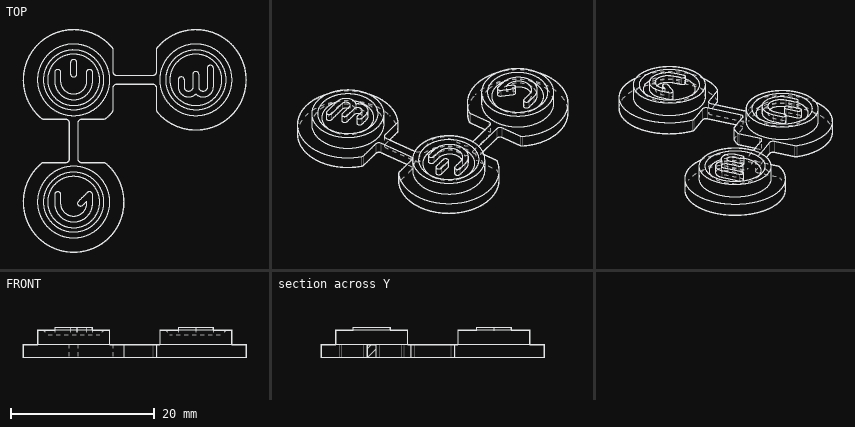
import cadquery as cq
import math

overall = 31.0
disc_diameter = 14.0
pitch = overall - disc_diameter
base_height = 1.8
flat_distance = 5.5
bridge_width = 1.25
bridge_fillet = 0.5
disc_corner_fillet = 0.5

boss_diameter = 10.0
boss_height = 2.0
boss_top = base_height + boss_height
dish_depth = 0.7
dish_top_radius = 4.2
dish_floor_radius = 3.6
dish_floor = boss_top - dish_depth

total_height = 4.2
symbol_height = total_height - dish_floor
stroke = 0.8
cup_radius = 2.2
cup_center_y = -0.2
cup_tip_y = 1.05
bar_bottom_y = 0.78
bar_top_y = 2.45
hook_reach = 1.25
wave_radius = 1.008
wave_center_y = -1.0
wave_tip_heights = (0.03, 0.78, 1.65)

corner = (0, 0, 0)
right_end = (pitch, 0, 0)
lower_end = (0, -pitch, 0)


def straight_stroke(start, end):
    """Round-ended bar between two end-arc centres, on the dish floor."""
    dx = end[0] - start[0]
    dy = end[1] - start[1]
    middle = ((start[0] + end[0]) / 2, (start[1] + end[1]) / 2)
    return (
        cq.Workplane("XY", origin=(0, 0, dish_floor))
        .center(*middle)
        .slot2D(math.hypot(dx, dy) + stroke, stroke, math.degrees(math.atan2(dy, dx)))
        .extrude(symbol_height)
    )


def bowl_stroke(center_x, center_y, radius):
    """Lower half of a ring, open toward +Y."""
    outer = radius + stroke / 2
    inner = radius - stroke / 2
    return (
        cq.Workplane("XY", origin=(center_x, center_y, dish_floor))
        .moveTo(-outer, 0)
        .threePointArc((0, -outer), (outer, 0))
        .lineTo(inner, 0)
        .threePointArc((0, -inner), (-inner, 0))
        .close()
        .extrude(symbol_height)
    )


def cup_symbol():
    cup = bowl_stroke(0, cup_center_y, cup_radius)
    for x in (-cup_radius, cup_radius):
        cup = cup.union(straight_stroke((x, cup_center_y), (x, cup_tip_y)))
    return cup


def cup_and_bar_symbol():
    return cup_symbol().union(straight_stroke((0, bar_bottom_y), (0, bar_top_y)))


def hooked_cup_symbol():
    tip = (cup_radius, cup_tip_y)
    hook_end = (cup_radius - hook_reach, cup_tip_y - hook_reach)
    return cup_symbol().union(straight_stroke(hook_end, tip))


def wave_symbol():
    wave = bowl_stroke(-wave_radius, wave_center_y, wave_radius)
    wave = wave.union(bowl_stroke(wave_radius, wave_center_y, wave_radius))
    for index, tip_y in enumerate(wave_tip_heights):
        x = (index - 1) * 2 * wave_radius
        wave = wave.union(straight_stroke((x, wave_center_y), (x, tip_y)))
    return wave


def base_disc(flat_directions):
    """Disc cut straight on each side that faces a bridge."""
    disc = cq.Workplane("XY").circle(disc_diameter / 2).extrude(base_height)
    for x_dir, y_dir in flat_directions:
        offset = flat_distance + disc_diameter / 2
        cutter = (
            cq.Workplane("XY")
            .center(x_dir * offset, y_dir * offset)
            .rect(disc_diameter, disc_diameter)
            .extrude(base_height)
        )
        disc = disc.cut(cutter)

    half_flat = math.sqrt((disc_diameter / 2) ** 2 - flat_distance**2)
    for x_dir, y_dir in flat_directions:
        for side in (-half_flat, half_flat):
            x = x_dir * flat_distance + abs(y_dir) * side
            y = y_dir * flat_distance + abs(x_dir) * side
            corner_edge = cq.selectors.NearestToPointSelector((x, y, base_height / 2))
            disc = disc.edges("|Z").edges(corner_edge).fillet(disc_corner_fillet)
    return disc


def bridge_plate(start, end):
    """Straight bridge overlapping both neighbouring discs."""
    return (
        cq.Workplane("XY")
        .center((start[0] + end[0]) / 2, (start[1] + end[1]) / 2)
        .rect(max(abs(end[0] - start[0]), bridge_width), max(abs(end[1] - start[1]), bridge_width))
        .extrude(base_height)
    )


def base_plate():
    plate = base_disc([(1, 0), (0, -1)])
    plate = plate.union(base_disc([(-1, 0)]).translate(right_end))
    plate = plate.union(base_disc([(0, 1)]).translate(lower_end))
    for end in (right_end, lower_end):
        plate = plate.union(bridge_plate(corner, end))

    for along in (flat_distance, pitch - flat_distance):
        for side in (-bridge_width / 2, bridge_width / 2):
            for x, y in ((along, side), (side, -along)):
                corner_edge = cq.selectors.NearestToPointSelector((x, y, base_height / 2))
                plate = plate.edges("|Z").edges(corner_edge).fillet(bridge_fillet)
    return plate


def dished_boss():
    """Round boss with a conical-sided, flat-floored dish in its top."""
    return (
        cq.Workplane("XZ")
        .moveTo(0, base_height)
        .lineTo(boss_diameter / 2, base_height)
        .lineTo(boss_diameter / 2, boss_top)
        .lineTo(dish_top_radius, boss_top)
        .lineTo(dish_floor_radius, dish_floor)
        .lineTo(0, dish_floor)
        .close()
        .revolve(360, (0, 0, 0), (0, 1, 0))
    )


result = base_plate()
for position, symbol in (
    (corner, cup_and_bar_symbol()),
    (right_end, wave_symbol()),
    (lower_end, hooked_cup_symbol()),
):
    result = result.union(dished_boss().union(symbol).translate(position))

result = result.translate((-pitch / 2, pitch / 2, 0))